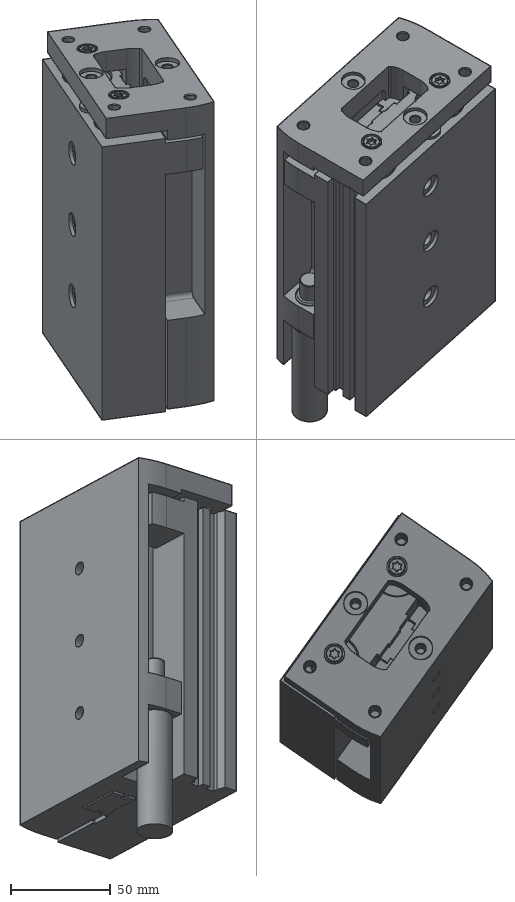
import cadquery as cq
import math

HOUSING_WIDTH = 104.0
HOUSING_HEIGHT = 153.8
TOTAL_HEIGHT = 200.5
TOTAL_DEPTH = 60.0
ABSORBER_DROP = 31.3
SLIDE_TOP = TOTAL_HEIGHT - ABSORBER_DROP

HOUSING_DEPTH = 33.5
CHANNEL_HALF_WIDTH = 23.0
CHANNEL_FLOOR_Y = 32.0
SIDE_ARC_RADIUS = 50.1
SIDE_ARC_START_Y = 44.5
STOP_BOTTOM = 133.5
STOP_TOP = 151.2
STOP_Y = 53.3
STOP_INNER_X = 29.0
GROOVE_Y = 16.0
GROOVE_MOUTH = 17.6
GROOVE_SLOT = 14.6
GROOVE_ISLAND = 4.6
GROOVE_MOUTH_DEPTH = 4.6
GROOVE_ISLAND_DEPTH = 4.0
GROOVE_SLOT_DEPTH = 7.5
CAP_DIAMETER = 25.0
CAP_RECESS = 1.2
CAP_CHAMFER = 0.6
PORT_X, PORT_Y = 8.0, 8.2
PORT_FLANGE_DIAMETER, PORT_FLANGE_HEIGHT = 12.8, 1.6
PORT_STUD_DIAMETER, PORT_HEIGHT = 8.5, 3.0

MOUNT_HOLE_DIAMETER = 6.6
MOUNT_SINK_DIAMETER = 12.0
MOUNT_SINK_DEPTH = 2.0
MOUNT_PITCH = 40.0
MOUNT_MIDDLE_Z = 85.5
MOUNT_HEIGHTS = [MOUNT_MIDDLE_Z + step * MOUNT_PITCH for step in (-1, 0, 1)]

SLIDE_WIDTH = 102.9
SLIDE_BOTTOM = 1.0
TABLE_FRONT_Y = 34.7
PLATE_FRONT_Y = 2.5
PLATE_THICKNESS = 11.5
CARRIAGE_HALF_WIDTH = 21.5
CARRIAGE_FRONT_Y = 34.0
CARRIAGE_TOP = 146.4
POCKET_INNER_X = 28.0
POCKET_BACK_Y = 54.7
POCKET_TOP = 155.5
FAR_POCKET_TOP = 152.4
POCKET_FILLET = 2.6
HOLDER_BOTTOM = 33.3
HOLDER_TOP = 51.0

WINDOW_Y = 29.7
WINDOW_HALF_DEPTH = 12.8
WINDOW_STRAIGHT = 5.5
WINDOW_SHOULDER_X = 19.8
WINDOW_SHOULDER_Y = 11.8
WINDOW_END_X = 18.8
WINDOW_SIDE_MIDDLE_X = 21.0
WINDOW_SIDE_MIDDLE_Y = 8.6
RELIEF_HALF_WIDTH = 16.6
RELIEF_BACK_Y = 44.5
RELIEF_CORNER = 4.0

PLATE_HOLE_PITCH = 80.2
PLATE_HOLE_ROW_PITCH = 40.0
PLATE_HOLE_Y = 30.0
THREAD_DIAMETER = 5.5
THREAD_MOUTH_DIAMETER = 6.5
CENTER_SINK_DIAMETER = 12.0
CENTER_SINK_DEPTH = 2.0
CENTER_HOLE_DIAMETER = 5.0
CENTER_MOUTH_DIAMETER = 5.6

RAIL_HALF_WIDTH = 12.0
RAIL_GAP = 0.6
RAIL_BASE_Y = 33.7
RAIL_TOP_Y = 48.1
RAIL_TOP = 145.8
RACE_HALF_WIDTH = 9.2
RACE_START_Y, RACE_END_Y = 38.0, 40.7
RAIL_UNDERCUT_HALF_WIDTH, RAIL_UNDERCUT_DEPTH = 5.0, 0.6

ROD_X, ROD_Y = 27.5, 16.2
ROD_DIAMETER = 12.0
ROD_DEPTH = 20.0
ROD_END_DIAMETER = 8.5
ROD_END_SINK_DIAMETER = 10.2
ROD_END_SINK_DEPTH = 1.2
ROD_END_CHAMFER = 0.3
SOCKET_LOBES = 6
SOCKET_OUTER_RADIUS = 2.8
SOCKET_INNER_RADIUS = 1.8
SOCKET_DEPTH = 2.0

ABSORBER_X, ABSORBER_Y = -42.1, 44.5
ABSORBER_DIAMETER = 18.0
ABSORBER_CHAMFER = 0.6
BARREL_TOP = 32.7
COLLAR_DIAMETER = 14.5
COLLAR_HEIGHT = 1.2
COLLAR_CHAMFER = 0.8
BUFFER_DIAMETER = 10.0
BUFFER_TOP = 62.8
BUFFER_CHAMFER = 0.5


def block(x0, x1, y0, y1, z0, z1):
    """Box between two opposite corners."""
    return cq.Workplane("XY").box(x1 - x0, y1 - y0, z1 - z0, centered=False).translate((x0, y0, z0))


def rod(x, y, diameter, z0, z1):
    """Upright cylinder."""
    return cq.Workplane("XY", origin=(x, y, z0)).circle(diameter / 2).extrude(z1 - z0)


def side_inset(y):
    """How far the rounded sides have drawn in at depth y."""
    rise = y - SIDE_ARC_START_Y
    return SIDE_ARC_RADIUS - math.sqrt(SIDE_ARC_RADIUS**2 - rise**2)


def rounded_side_prism(width, y0, y1, z0, z1):
    """Prism whose straight sides curve inward towards the back."""
    half = width / 2
    middle_y = (SIDE_ARC_START_Y + y1) / 2
    outline = (
        cq.Workplane("XY", origin=(0, 0, z0))
        .moveTo(-half, y0)
        .lineTo(half, y0)
        .lineTo(half, SIDE_ARC_START_Y)
        .threePointArc((half - side_inset(middle_y), middle_y), (half - side_inset(y1), y1))
        .lineTo(side_inset(y1) - half, y1)
        .threePointArc((side_inset(middle_y) - half, middle_y), (-half, SIDE_ARC_START_Y))
        .close()
    )
    return outline.extrude(z1 - z0)


def mount_holes(diameter, y0, y1):
    """Row of cylinders along Y on the middle plane."""
    points = [(0, z) for z in MOUNT_HEIGHTS]
    return cq.Workplane("XZ", origin=(0, y0, 0)).pushPoints(points).circle(diameter / 2).extrude(y0 - y1)


def sensor_groove():
    """Groove along the -X side: wide mouth, then a narrower slot with a raised middle island."""
    side = -HOUSING_WIDTH / 2
    shelf_x = side + GROOVE_MOUTH_DEPTH
    slot_x = side + GROOVE_SLOT_DEPTH
    island_x = side + GROOVE_ISLAND_DEPTH
    points = [
        (side, GROOVE_MOUTH / 2),
        (shelf_x, GROOVE_MOUTH / 2),
        (shelf_x, GROOVE_SLOT / 2),
        (slot_x, GROOVE_SLOT / 2),
        (slot_x, GROOVE_ISLAND / 2),
        (island_x, GROOVE_ISLAND / 2),
        (island_x, -GROOVE_ISLAND / 2),
        (slot_x, -GROOVE_ISLAND / 2),
        (slot_x, -GROOVE_SLOT / 2),
        (shelf_x, -GROOVE_SLOT / 2),
        (side, -GROOVE_MOUTH / 2),
    ]
    profile = cq.Workplane("XY", origin=(0, GROOVE_Y, 0)).polyline(points).close()
    return profile.extrude(HOUSING_HEIGHT)


def make_housing():
    """Housing with stop blocks, sensor groove, cylinder bores and port stud."""
    half = HOUSING_WIDTH / 2
    gap_x = RAIL_HALF_WIDTH + RAIL_GAP
    body = block(-half, half, 0, HOUSING_DEPTH, 0, HOUSING_HEIGHT)
    body = body.cut(
        block(-CHANNEL_HALF_WIDTH, CHANNEL_HALF_WIDTH, CHANNEL_FLOOR_Y, HOUSING_DEPTH, 0, HOUSING_HEIGHT)
    )
    body = body.union(block(-gap_x, gap_x, CHANNEL_FLOOR_Y, RAIL_BASE_Y, 0, HOUSING_HEIGHT))
    body = body.union(
        block(
            -RAIL_UNDERCUT_HALF_WIDTH, RAIL_UNDERCUT_HALF_WIDTH,
            RAIL_BASE_Y, RAIL_BASE_Y + RAIL_UNDERCUT_DEPTH, 0, HOUSING_HEIGHT,
        )
    )

    stops = rounded_side_prism(HOUSING_WIDTH, HOUSING_DEPTH, STOP_Y, STOP_BOTTOM, STOP_TOP)
    stops = stops.cut(block(-STOP_INNER_X, STOP_INNER_X, HOUSING_DEPTH, STOP_Y, STOP_BOTTOM, STOP_TOP))
    body = body.union(stops)

    body = body.cut(sensor_groove())

    for x in (-ROD_X, ROD_X):
        recess = rod(x, ROD_Y, CAP_DIAMETER - 2 * CAP_CHAMFER, HOUSING_HEIGHT - CAP_RECESS, HOUSING_HEIGHT)
        rim = rod(x, ROD_Y, CAP_DIAMETER, HOUSING_HEIGHT - CAP_CHAMFER, HOUSING_HEIGHT)
        recess = recess.union(rim.faces("<Z").chamfer(CAP_CHAMFER * 0.99))
        bore = rod(x, ROD_Y, ROD_DIAMETER, HOUSING_HEIGHT - ROD_DEPTH, HOUSING_HEIGHT)
        body = body.cut(recess).cut(bore)

    flange = rod(PORT_X, PORT_Y, PORT_FLANGE_DIAMETER, HOUSING_HEIGHT, HOUSING_HEIGHT + PORT_FLANGE_HEIGHT)
    stud = rod(PORT_X, PORT_Y, PORT_STUD_DIAMETER, HOUSING_HEIGHT, HOUSING_HEIGHT + PORT_HEIGHT)
    body = body.union(flange).union(stud)

    body = body.cut(mount_holes(MOUNT_HOLE_DIAMETER, 0, TOTAL_DEPTH))
    return body.cut(mount_holes(MOUNT_SINK_DIAMETER, 0, MOUNT_SINK_DEPTH))


def rail_section(half_width, y0, y1, z0, z1):
    """Rail bar with a ball race along each side."""
    bar = block(-half_width, half_width, y0, y1, z0, z1)
    for side in (-1, 1):
        inner, outer = sorted((side * RACE_HALF_WIDTH, side * half_width))
        bar = bar.cut(block(inner, outer, RACE_START_Y, RACE_END_Y, z0, z1))
    return bar


def make_rail():
    """Guide rail standing on the housing."""
    rail = rail_section(RAIL_HALF_WIDTH, RAIL_BASE_Y, RAIL_TOP_Y, 0, RAIL_TOP)
    undercut = block(
        -RAIL_UNDERCUT_HALF_WIDTH, RAIL_UNDERCUT_HALF_WIDTH,
        RAIL_BASE_Y, RAIL_BASE_Y + RAIL_UNDERCUT_DEPTH, 0, RAIL_TOP,
    )
    return rail.cut(undercut).cut(mount_holes(MOUNT_HOLE_DIAMETER, 0, TOTAL_DEPTH))


def window(z0, z1):
    """Barrel-shaped opening: straight sides that curve in to chamfered ends."""
    sketch = cq.Workplane("XY", origin=(0, WINDOW_Y, z0)).moveTo(CARRIAGE_HALF_WIDTH, -WINDOW_STRAIGHT)
    for turn in (1, -1):
        sketch = (
            sketch.lineTo(turn * CARRIAGE_HALF_WIDTH, turn * WINDOW_STRAIGHT)
            .threePointArc(
                (turn * WINDOW_SIDE_MIDDLE_X, turn * WINDOW_SIDE_MIDDLE_Y),
                (turn * WINDOW_SHOULDER_X, turn * WINDOW_SHOULDER_Y),
            )
            .lineTo(turn * WINDOW_END_X, turn * WINDOW_HALF_DEPTH)
            .lineTo(-turn * WINDOW_END_X, turn * WINDOW_HALF_DEPTH)
            .lineTo(-turn * WINDOW_SHOULDER_X, turn * WINDOW_SHOULDER_Y)
            .threePointArc(
                (-turn * WINDOW_SIDE_MIDDLE_X, turn * WINDOW_SIDE_MIDDLE_Y),
                (-turn * CARRIAGE_HALF_WIDTH, turn * WINDOW_STRAIGHT),
            )
        )
    return sketch.close().extrude(z1 - z0)


def side_pocket(side, z0, z1):
    """Pocket open to one side and to the housing, with rounded inner edges."""
    x0, x1 = sorted((side * POCKET_INNER_X, side * HOUSING_WIDTH))
    pocket = block(x0, x1, HOUSING_DEPTH, POCKET_BACK_Y, z0, z1)
    inner_face = ">X" if side < 0 else "<X"
    return pocket.faces(inner_face).edges("|Y").fillet(POCKET_FILLET)


def plate_hole(x, y, diameter, mouth_diameter):
    """Hole through the end plate with a chamfered mouth."""
    hole = rod(x, y, diameter, SLIDE_TOP - PLATE_THICKNESS, SLIDE_TOP)
    widening = (mouth_diameter - diameter) / 2
    mouth = (
        cq.Workplane("XY", origin=(x, y, SLIDE_TOP - widening))
        .circle(diameter / 2)
        .workplane(offset=widening)
        .circle(mouth_diameter / 2)
        .loft()
    )
    return hole.union(mouth)


def make_slide():
    """Slide: table and end plate in one piece, with the carriage that runs on the rail."""
    plate_bottom = SLIDE_TOP - PLATE_THICKNESS
    table = rounded_side_prism(SLIDE_WIDTH, TABLE_FRONT_Y, TOTAL_DEPTH, SLIDE_BOTTOM, SLIDE_TOP)
    plate = rounded_side_prism(SLIDE_WIDTH, PLATE_FRONT_Y, TOTAL_DEPTH, plate_bottom, SLIDE_TOP)
    carriage = block(
        -CARRIAGE_HALF_WIDTH, CARRIAGE_HALF_WIDTH, CARRIAGE_FRONT_Y, TABLE_FRONT_Y, SLIDE_BOTTOM, CARRIAGE_TOP
    )
    body = table.union(plate).union(carriage)

    body = body.cut(window(CARRIAGE_TOP, SLIDE_TOP))
    relief = block(
        -RELIEF_HALF_WIDTH, RELIEF_HALF_WIDTH, TABLE_FRONT_Y, RELIEF_BACK_Y, CARRIAGE_TOP, POCKET_TOP
    )
    body = body.cut(relief.faces(">Z").edges("|Y").fillet(RELIEF_CORNER))

    body = body.cut(
        rail_section(RAIL_HALF_WIDTH + RAIL_GAP, HOUSING_DEPTH, RAIL_TOP_Y, SLIDE_BOTTOM, CARRIAGE_TOP)
    )

    body = body.cut(side_pocket(-1, HOLDER_TOP, POCKET_TOP))
    body = body.cut(side_pocket(-1, SLIDE_BOTTOM - ABSORBER_DROP, HOLDER_BOTTOM))
    body = body.cut(side_pocket(1, HOLDER_TOP, FAR_POCKET_TOP))
    body = body.cut(rod(ABSORBER_X, ABSORBER_Y, COLLAR_DIAMETER, HOLDER_BOTTOM, HOLDER_TOP))

    for row in (-1, 1):
        y = PLATE_HOLE_Y + row * PLATE_HOLE_ROW_PITCH / 2
        body = body.cut(
            rod(0, y, CENTER_SINK_DIAMETER, SLIDE_TOP - CENTER_SINK_DEPTH, SLIDE_TOP)
        )
        center_hole = plate_hole(0, y, CENTER_HOLE_DIAMETER, CENTER_MOUTH_DIAMETER)
        body = body.cut(center_hole.translate((0, 0, -CENTER_SINK_DEPTH)))
        for side in (-1, 1):
            x = side * PLATE_HOLE_PITCH / 2
            body = body.cut(plate_hole(x, y, THREAD_DIAMETER, THREAD_MOUTH_DIAMETER))
    for x in (-ROD_X, ROD_X):
        body = body.cut(rod(x, ROD_Y, ROD_END_DIAMETER, plate_bottom, SLIDE_TOP))
        body = body.cut(rod(x, ROD_Y, ROD_END_SINK_DIAMETER, SLIDE_TOP - ROD_END_SINK_DEPTH, SLIDE_TOP))

    return body.cut(mount_holes(MOUNT_HOLE_DIAMETER, 0, TOTAL_DEPTH))


def make_piston_rod(x):
    """Rod whose slimmer end passes through the end plate and has a star socket."""
    plate_bottom = SLIDE_TOP - PLATE_THICKNESS
    shaft = rod(x, ROD_Y, ROD_DIAMETER, HOUSING_HEIGHT - ROD_DEPTH, plate_bottom)
    end = rod(x, ROD_Y, ROD_END_DIAMETER, plate_bottom, SLIDE_TOP).faces(">Z").chamfer(ROD_END_CHAMFER)
    points = []
    for step in range(2 * SOCKET_LOBES):
        radius = SOCKET_INNER_RADIUS if step % 2 else SOCKET_OUTER_RADIUS
        angle = math.pi / 2 + step * math.pi / SOCKET_LOBES
        points.append((radius * math.cos(angle), radius * math.sin(angle)))
    socket = cq.Workplane("XY", origin=(x, ROD_Y, SLIDE_TOP - SOCKET_DEPTH)).polyline(points).close()
    return shaft.union(end).cut(socket.extrude(SOCKET_DEPTH))


def make_absorber():
    """Shock absorber: barrel below the holder, collar through it and buffer on top."""
    barrel = rod(ABSORBER_X, ABSORBER_Y, ABSORBER_DIAMETER, -ABSORBER_DROP, BARREL_TOP)
    barrel = barrel.faces(">Z").chamfer(ABSORBER_CHAMFER)
    collar = rod(ABSORBER_X, ABSORBER_Y, COLLAR_DIAMETER, BARREL_TOP, HOLDER_TOP + COLLAR_HEIGHT)
    collar = collar.faces(">Z").chamfer(COLLAR_CHAMFER)
    buffer = rod(ABSORBER_X, ABSORBER_Y, BUFFER_DIAMETER, HOLDER_TOP, BUFFER_TOP)
    buffer = buffer.faces(">Z").chamfer(BUFFER_CHAMFER)
    return barrel.union(collar).union(buffer)


housing = make_housing()
rail = make_rail()
slide = make_slide()
absorber = make_absorber()
piston_rods = [make_piston_rod(x).val() for x in (-ROD_X, ROD_X)]

result = cq.Compound.makeCompound(
    [housing.val(), rail.val(), slide.val(), absorber.val(), *piston_rods]
)